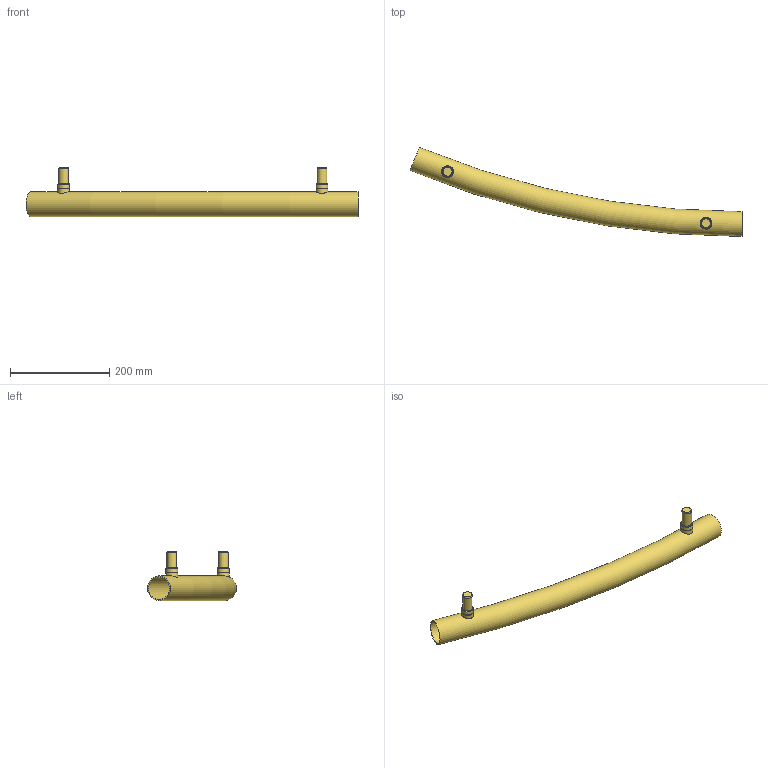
import cadquery as cq
import math

tube_radius = 25.0
tube_wall = 2.0
bend_radius = 1724.3
bend_angle = 22.5

first_peg_angle = 2.41
peg_angle_spacing = 17.73
peg_count = 2

collar_radius = 12.0
collar_height = 16.0
collar_chamfer = 1.0
groove_height = 6.0
groove_width = 0.8
groove_depth = 0.3
shaft_radius = 9.8
peg_height = 49.35
tip_chamfer_height = 3.0
tip_chamfer_depth = 0.8


def bent_rod(radius):
    """Solid round rod that follows the full bend."""
    axis_start = (bend_radius, 1)
    axis_end = (bend_radius, 0)
    return cq.Workplane("YZ").circle(radius).revolve(bend_angle, axis_start, axis_end)


def bend_point(angle):
    """Point on the tube centreline at an angle from the end at the origin."""
    turn = math.radians(angle)
    x = -bend_radius * math.sin(turn)
    y = bend_radius * (1 - math.cos(turn))
    return cq.Vector(x, y, 0)


def make_peg(position):
    """Stepped round peg with a saddle-shaped foot that sits on the tube."""
    collar_top = tube_radius + collar_height
    groove_bottom = tube_radius + groove_height
    groove_top = groove_bottom + groove_width
    groove_radius = collar_radius - groove_depth
    tip = tube_radius + peg_height
    half_profile = [
        (0, 0),
        (collar_radius, 0),
        (collar_radius, groove_bottom),
        (groove_radius, groove_bottom),
        (groove_radius, groove_top),
        (collar_radius, groove_top),
        (collar_radius, collar_top - collar_chamfer),
        (collar_radius - collar_chamfer, collar_top),
        (shaft_radius, collar_top),
        (shaft_radius, tip - tip_chamfer_height),
        (shaft_radius - tip_chamfer_depth, tip),
        (0, tip),
    ]
    peg = cq.Workplane("XZ").polyline(half_profile).close().revolve(360, (0, 0), (0, 1))
    return peg.translate(position).cut(bent_rod(tube_radius))


def make_tube():
    """Open-ended bent tube."""
    return bent_rod(tube_radius).cut(bent_rod(tube_radius - tube_wall))


tube = make_tube()

pegs = []
for index in range(peg_count):
    peg_angle = first_peg_angle + index * peg_angle_spacing
    pegs.append(make_peg(bend_point(peg_angle)))

peg_solids = [peg.solids().val() for peg in pegs]
result = cq.Compound.makeCompound([tube.solids().val(), *peg_solids])